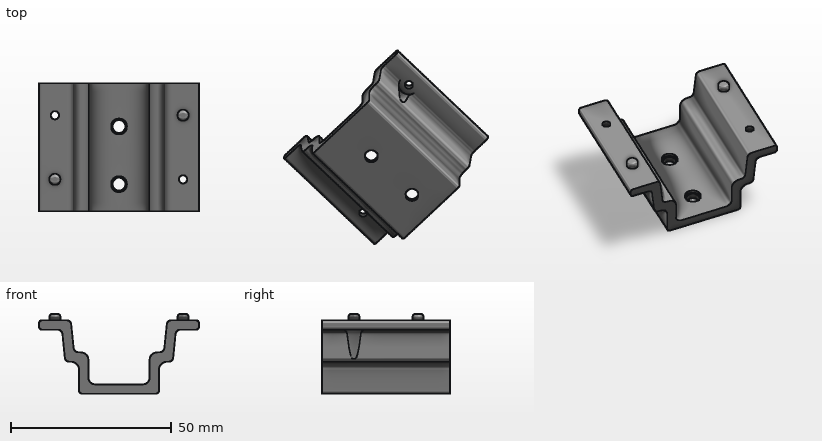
import cadquery as cq
import math

length = 40.0
half_width = 25.0
wall = 3.0
flange_top = 23.0
flange_bottom = flange_top - wall
shelf_top = 13.0
shelf_bottom = shelf_top - wall
channel_outer = 12.5
channel_inner = channel_outer - wall

web_inner_top = 15.0
web_inner_shelf = 14.0
web_thickness = 3.1

edge_radius = 1.0
base_radius = 1.0
web_radius = 1.5
floor_radius = 2.0
shelf_radius = 2.5

flange_feature_x = 20.0
flange_feature_y = 10.0
pin_diameter = 3.5
pin_height = 2.0
pin_dome_radius = 1.0
pin_hole_diameter = 2.5
clearance_diameter = 6.3

screw_hole_ys = (6.5, -11.5)
screw_hole_diameter = 4.0
screw_recess_diameter = 5.0
screw_recess_depth = 1.0

web_slope = (web_inner_top - web_inner_shelf) / (flange_top - shelf_top)
web_offset = web_thickness * math.hypot(1, web_slope)


def web_outer(z):
    """X of the outer web face, parallel to the inner one at the web thickness."""
    return web_inner_shelf + web_slope * (z - shelf_top) + web_offset


section_corners = [
    (channel_inner, wall, floor_radius),
    (channel_inner, shelf_top, shelf_radius),
    (web_inner_shelf, shelf_top, web_radius),
    (web_inner_top, flange_top, web_radius),
    (half_width, flange_top, edge_radius),
    (half_width, flange_bottom, edge_radius),
    (web_outer(flange_bottom), flange_bottom, web_radius),
    (web_outer(shelf_bottom), shelf_bottom, web_radius),
    (channel_outer, shelf_bottom, shelf_radius),
    (channel_outer, 0, base_radius),
]


def make_rail():
    right_side = [(x, z) for x, z, _ in section_corners]
    left_side = [(-x, z) for x, z in reversed(right_side)]
    rail = cq.Workplane("XZ").polyline(right_side + left_side).close().extrude(length / 2, both=True)
    for x, z, radius in section_corners:
        for side in (-1, 1):
            corner_edge = cq.selectors.NearestToPointSelector((side * x, 0, z))
            rail = rail.edges("|Y").edges(corner_edge).fillet(radius)
    return rail


def make_pin(x, y):
    pin = cq.Workplane(origin=(x, y, flange_top)).circle(pin_diameter / 2).extrude(pin_height)
    return pin.faces(">Z").edges().fillet(pin_dome_radius)


def make_pin_hole(x, y):
    """Through hole in the flange, with a clearance bore below that relieves the web."""
    hole = cq.Workplane(origin=(x, y, 0)).circle(pin_hole_diameter / 2).extrude(flange_top)
    clearance = cq.Workplane(origin=(x, y, 0)).circle(clearance_diameter / 2).extrude(flange_bottom)
    return hole.union(clearance)


def make_screw_hole(y):
    hole = cq.Workplane(origin=(0, y, 0)).circle(screw_hole_diameter / 2).extrude(wall)
    recess_bottom = wall - screw_recess_depth
    recess = cq.Workplane(origin=(0, y, recess_bottom)).circle(screw_recess_diameter / 2)
    return hole.union(recess.extrude(screw_recess_depth))


result = make_rail()
for side in (-1, 1):
    pin_x = side * flange_feature_x
    pin_y = side * flange_feature_y
    result = result.union(make_pin(pin_x, pin_y))
    result = result.cut(make_pin_hole(pin_x, -pin_y))
for screw_y in screw_hole_ys:
    result = result.cut(make_screw_hole(screw_y))